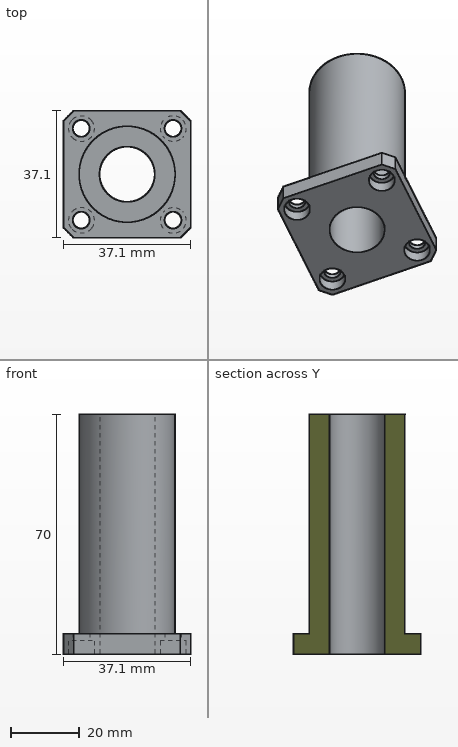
import cadquery as cq

total_height = 70.0
flange_side = 37.1
flange_thickness = 6.0
corner_chamfer = 3.0
body_diameter = 28.0
bore_diameter = 16.0
bolt_hole_diameter = 4.8
counterbore_diameter = 7.5
counterbore_depth = 4.1
bolt_spacing = 26.75

flange = (
    cq.Workplane("XY")
    .rect(flange_side, flange_side)
    .extrude(flange_thickness)
    .edges("|Z")
    .chamfer(corner_chamfer)
)

body = cq.Workplane("XY").circle(body_diameter / 2).extrude(total_height)

bore = cq.Workplane("XY").circle(bore_diameter / 2).extrude(total_height)


def bolt_pattern(diameter, depth):
    """Four cylinders on the square bolt pattern, rising from Z = 0."""
    return (
        cq.Workplane("XY")
        .rect(bolt_spacing, bolt_spacing, forConstruction=True)
        .vertices()
        .circle(diameter / 2)
        .extrude(depth)
    )


bolt_holes = bolt_pattern(bolt_hole_diameter, flange_thickness)
counterbores = bolt_pattern(counterbore_diameter, counterbore_depth)

result = flange.union(body).cut(bore).cut(bolt_holes).cut(counterbores)